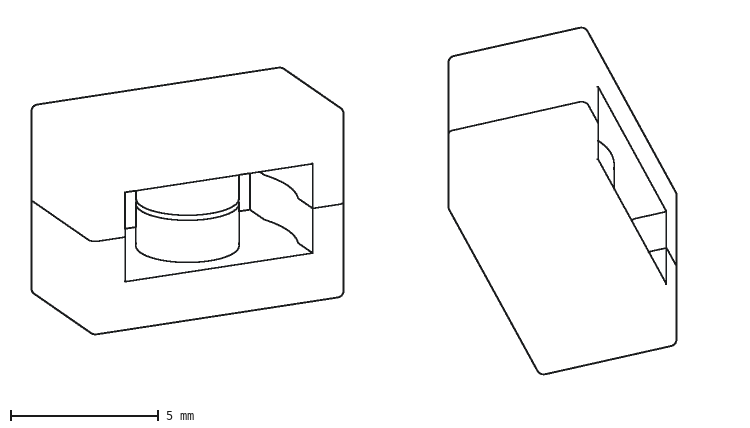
import cadquery as cq

CORE_WIDTH = 5.0
CORE_LENGTH = 9.5
CORE_HEIGHT = 6.8
EDGE_RADIUS = 0.25

WINDOW_LENGTH = 7.0
WINDOW_HEIGHT = 3.19
WINDING_DIAMETER = 7.505

POST_DIAMETER = 3.5
AIR_GAP = 0.18

HALF_HEIGHT = CORE_HEIGHT / 2
WINDOW_DEPTH = WINDOW_HEIGHT / 2
POST_HEIGHT = WINDOW_DEPTH - AIR_GAP / 2


def make_winding_space():
    """Straight window through X, joined with a round relief around the post."""
    floor = cq.Workplane("XY").workplane(offset=-WINDOW_DEPTH)
    window = floor.rect(CORE_WIDTH, WINDOW_LENGTH).extrude(WINDOW_DEPTH)
    relief = floor.circle(WINDING_DIAMETER / 2).extrude(WINDOW_DEPTH)
    return window.union(relief)


def make_lower_core():
    """Core half below the mating plane at Z = 0."""
    block = (
        cq.Workplane("XY")
        .workplane(offset=-HALF_HEIGHT)
        .rect(CORE_WIDTH, CORE_LENGTH)
        .extrude(HALF_HEIGHT)
        .edges("|Z or <Z")
        .fillet(EDGE_RADIUS)
    )
    post = (
        cq.Workplane("XY")
        .workplane(offset=-WINDOW_DEPTH)
        .circle(POST_DIAMETER / 2)
        .extrude(POST_HEIGHT)
    )
    return block.cut(make_winding_space()).union(post)


lower_core = make_lower_core()
upper_core = lower_core.mirror("XY")

result = cq.Compound.makeCompound([lower_core.solids().val(), upper_core.solids().val()])